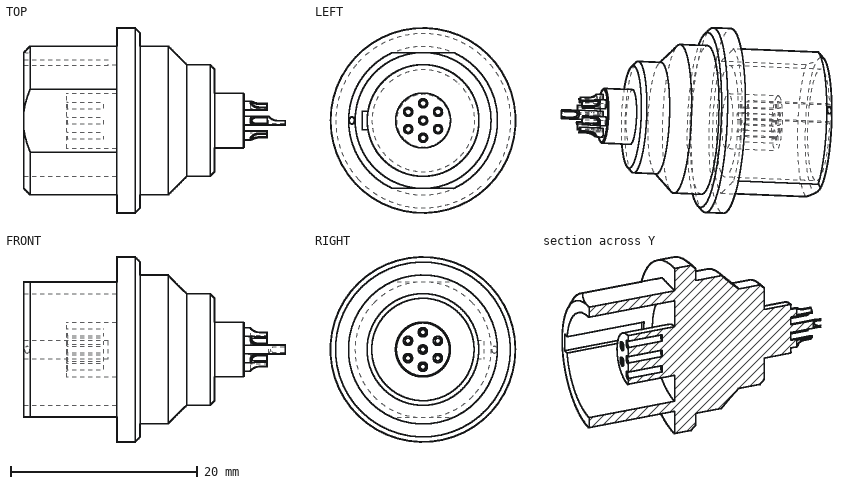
import math
import cadquery as cq


BARREL_LENGTH = 10.0
BARREL_RADIUS = 8.0
BARREL_CHAMFER = 0.7
FLAT_TO_FLAT = 14.5

FLANGE_THICKNESS = 2.5
FLANGE_RADIUS = 9.94
FLANGE_CHAMFER = 0.55
COLLAR_LENGTH = 3.0
COLLAR_RADIUS = BARREL_RADIUS
CONE_LENGTH = 2.0
TAIL_LENGTH = 3.0
TAIL_RADIUS = 6.0
TAIL_CHAMFER = 0.5

SOCKET_RADIUS = 6.0
SOCKET_DEPTH = BARREL_LENGTH
KEYWAY_WIDTH = 1.95
KEYWAY_REACH = 6.55
KEYWAY_DEPTH = 9.0
DIMPLE_RADIUS = 0.38

INSULATOR_RADIUS = 2.95
INSULATOR_FRONT_X = -5.45
INSULATOR_EXPOSED = 3.15
INSULATOR_CHAMFER = 0.1

RING_COUNT = 6
RING_RADIUS = 1.85
ENTRY_RADIUS = 0.48
CONTACT_BORE_RADIUS = 0.35
CONTACT_BORE_DEPTH = 4.0
PIN_RADIUS = 0.49
RING_PIN_LENGTH = 2.47
CENTRE_PIN_LENGTH = 4.43

CUP_LENGTH = 1.82
CUP_BORE_RADIUS = 0.3
SCOOP_RUN = 1.0

barrel_front_x = -BARREL_LENGTH
flange_back_x = FLANGE_THICKNESS
collar_back_x = flange_back_x + COLLAR_LENGTH
tail_front_x = collar_back_x + CONE_LENGTH
tail_back_x = tail_front_x + TAIL_LENGTH
insulator_back_x = tail_back_x + INSULATOR_EXPOSED


def cylinder(start_x, length, radius, y=0.0, z=0.0):
    return cq.Workplane("YZ", origin=(start_x, y, z)).circle(radius).extrude(length)


def make_barrel():
    """Chamfered barrel with a flat on its top and bottom."""
    barrel = cylinder(barrel_front_x, BARREL_LENGTH, BARREL_RADIUS).faces("<X").chamfer(BARREL_CHAMFER)
    slab = cq.Workplane("XY").box(2 * BARREL_LENGTH, 2 * BARREL_RADIUS, FLAT_TO_FLAT)
    return barrel.intersect(slab)


def make_rear_body():
    """Flange, collar, cone and tail revolved about X."""
    profile = [
        (0, 0),
        (0, FLANGE_RADIUS),
        (flange_back_x - FLANGE_CHAMFER, FLANGE_RADIUS),
        (flange_back_x, FLANGE_RADIUS - FLANGE_CHAMFER),
        (flange_back_x, COLLAR_RADIUS),
        (collar_back_x, COLLAR_RADIUS),
        (tail_front_x, TAIL_RADIUS),
        (tail_back_x - TAIL_CHAMFER, TAIL_RADIUS),
        (tail_back_x, TAIL_RADIUS - TAIL_CHAMFER),
        (tail_back_x, 0),
    ]
    return cq.Workplane("XY").polyline(profile).close().revolve(360, (0, 0, 0), (1, 0, 0))


def make_keyway():
    """Straight slot along the +Y side of the socket."""
    return cq.Workplane("XY", origin=(barrel_front_x, 0, 0)).box(
        KEYWAY_DEPTH, KEYWAY_REACH, KEYWAY_WIDTH, centered=(False, False, True)
    )


def make_dimple():
    """Ball centred on the middle of the rim chamfer, on the +Y side."""
    half_chamfer = BARREL_CHAMFER / 2
    return cq.Workplane("XY").sphere(DIMPLE_RADIUS).translate(
        (barrel_front_x + half_chamfer, BARREL_RADIUS - half_chamfer, 0)
    )


def make_insulator():
    length = insulator_back_x - INSULATOR_FRONT_X
    return cylinder(INSULATOR_FRONT_X, length, INSULATOR_RADIUS).faces(">X").chamfer(INSULATOR_CHAMFER)


def make_contact_pin(length):
    """Pin on the X axis whose solder cup opens toward +Y."""
    end_x = insulator_back_x + length
    scoop_x = end_x - CUP_LENGTH
    arc_radius = (SCOOP_RUN**2 + PIN_RADIUS**2) / (2 * PIN_RADIUS)
    half_sweep = math.asin(SCOOP_RUN / arc_radius) / 2
    arc_middle = (
        scoop_x + SCOOP_RUN - arc_radius * math.sin(half_sweep),
        arc_radius * (1 - math.cos(half_sweep)),
    )
    scoop = (
        cq.Workplane("XY")
        .moveTo(scoop_x, PIN_RADIUS)
        .threePointArc(arc_middle, (scoop_x + SCOOP_RUN, 0))
        .lineTo(end_x, 0)
        .lineTo(end_x, PIN_RADIUS)
        .close()
        .extrude(PIN_RADIUS, both=True)
    )
    bore = cylinder(scoop_x, CUP_LENGTH, CUP_BORE_RADIUS)
    root = INSULATOR_EXPOSED / 2
    pin = cylinder(insulator_back_x - root, length + root, PIN_RADIUS)
    return pin.cut(scoop).cut(bore)


def make_contact_hole(y, z):
    """Contact bore in the insulator front with a 45-degree lead-in."""
    lead_in_depth = ENTRY_RADIUS - CONTACT_BORE_RADIUS
    lead_in = cq.Workplane("XY").add(
        cq.Solid.makeCone(
            ENTRY_RADIUS,
            CONTACT_BORE_RADIUS,
            lead_in_depth,
            pnt=cq.Vector(INSULATOR_FRONT_X, y, z),
            dir=cq.Vector(1, 0, 0),
        )
    )
    bore = cylinder(INSULATOR_FRONT_X, CONTACT_BORE_DEPTH, CONTACT_BORE_RADIUS, y, z)
    return lead_in.union(bore)


shell = make_barrel().union(make_rear_body())
shell = shell.cut(cylinder(barrel_front_x, SOCKET_DEPTH, SOCKET_RADIUS))
shell = shell.cut(make_keyway()).cut(make_dimple())
result = shell.union(make_insulator())

result = result.union(make_contact_pin(CENTRE_PIN_LENGTH)).cut(make_contact_hole(0, 0))

ring_pin = make_contact_pin(RING_PIN_LENGTH).translate((0, RING_RADIUS, 0))
for index in range(RING_COUNT):
    angle = 90 + index * 360 / RING_COUNT
    hole_y = RING_RADIUS * math.cos(math.radians(angle))
    hole_z = RING_RADIUS * math.sin(math.radians(angle))
    result = result.union(ring_pin.rotate((0, 0, 0), (1, 0, 0), angle))
    result = result.cut(make_contact_hole(hole_y, hole_z))